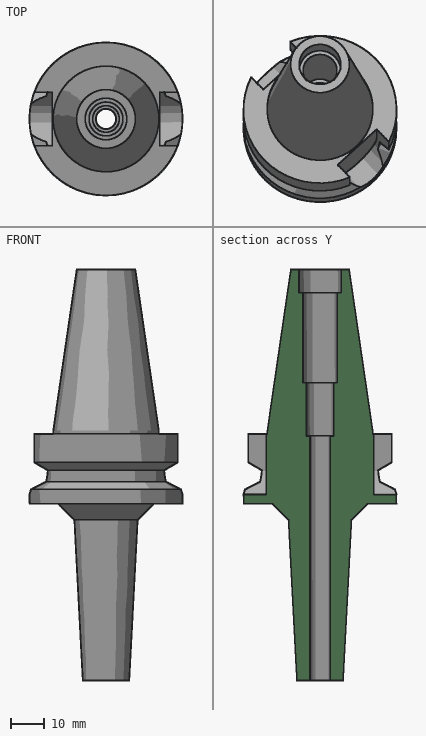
import cadquery as cq
import math

taper_length = 48.4
nose_end_z = -75.0
flange_top_z = -1.0
flange_bottom_z = -22.0

gauge_diameter = 31.75
gauge_radius = gauge_diameter / 2
taper_ratio = 7 / 24
taper_end_radius = gauge_radius - taper_length * taper_ratio / 2

flange_radius = 23.0
groove_center_z = -13.6
groove_floor_radius = 19.25
groove_mouth_width = 8.1
groove_floor_width = 3.4

nose_end_radius = 7.0
nose_half_angle = 3.0
neck_height = 4.8
neck_bottom_z = flange_bottom_z - neck_height
nose_length = neck_bottom_z - nose_end_z
nose_top_radius = nose_end_radius + nose_length * math.tan(math.radians(nose_half_angle))
neck_top_radius = nose_top_radius + neck_height

slot_width = 16.1
slot_bottom_z = -19.1
slot_floor_x = 16.2

through_diameter = 6.0
bore_steps = [(12.5, 7.0), (10.2, 34.0), (8.0, 50.0)]


def holder_body():
    """Solid of revolution: taper, grooved flange, neck cone and nose."""
    mouth_top_z = groove_center_z + groove_mouth_width / 2
    mouth_bottom_z = groove_center_z - groove_mouth_width / 2
    floor_top_z = groove_center_z + groove_floor_width / 2
    floor_bottom_z = groove_center_z - groove_floor_width / 2
    profile = [
        (0, taper_length),
        (taper_end_radius, taper_length),
        (gauge_radius, 0),
        (gauge_radius, flange_top_z),
        (flange_radius, flange_top_z),
        (flange_radius, mouth_top_z),
        (groove_floor_radius, floor_top_z),
        (groove_floor_radius, floor_bottom_z),
        (flange_radius, mouth_bottom_z),
        (flange_radius, flange_bottom_z),
        (neck_top_radius, flange_bottom_z),
        (nose_top_radius, neck_bottom_z),
        (nose_end_radius, nose_end_z),
        (0, nose_end_z),
    ]
    return cq.Workplane("XZ").polyline(profile).close().revolve(360, (0, 0), (0, 1))


def drive_slot(side):
    """Round-bottomed cutter for the slot on the +X (side = 1) or -X (side = -1) side."""
    half_width = slot_width / 2
    arc_center_z = slot_bottom_z + half_width
    return (
        cq.Workplane("YZ", origin=(side * slot_floor_x, 0, 0))
        .moveTo(-half_width, flange_top_z)
        .lineTo(-half_width, arc_center_z)
        .threePointArc((0, slot_bottom_z), (half_width, arc_center_z))
        .lineTo(half_width, flange_top_z)
        .close()
        .extrude(side * flange_radius)
    )


def bore(diameter, depth):
    """Cylinder sunk from the taper end along the axis."""
    return cq.Workplane("XY", origin=(0, 0, taper_length)).circle(diameter / 2).extrude(-depth)


result = holder_body()

for side in (-1, 1):
    result = result.cut(drive_slot(side))

for diameter, depth in bore_steps:
    result = result.cut(bore(diameter, depth))

result = result.cut(bore(through_diameter, taper_length - nose_end_z))